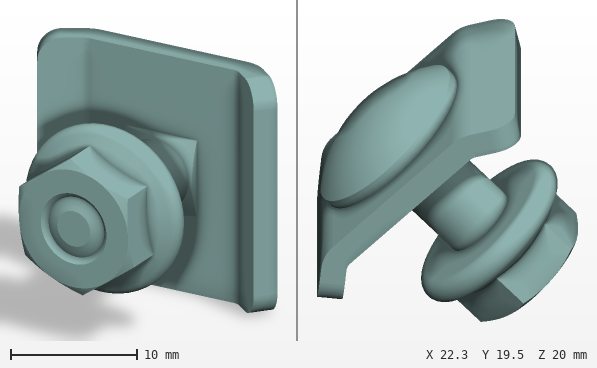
import cadquery as cq
import math


plate_height = 20.0
plate_thickness = 2.0
bend_start = 6.6
bend_inner_radius = 1.0
left_bend_angle = 30.0
right_bend_angle = 40.0
left_tip_reach = 11.28
right_tip_reach = 11.05
wing_corner_radius = 2.0

head_diameter = 14.2
head_rim_height = 0.9
dome_height = 2.64
neck_width = 6.48
neck_end = 3.0
shank_diameter = 6.0
thread_diameter = 5.12
bolt_tip_diameter = 3.02
bolt_tip_length = 0.45

nut_rear = 10.0
nut_height = 6.0
flange_diameter = 14.2
flange_edge_radius = 1.07
hex_width = 10.0
hex_turn = 5.5

bevel_angle = math.radians(30)
bevel_slope = math.tan(bevel_angle)
nut_front = nut_rear + nut_height


def bolt_axis_plane(depth):
    """Work plane square to the bolt axis, facing -Y, at a depth below the rear of the plate."""
    return cq.Workplane("XZ", origin=(0, -depth, 0))


def revolve_on_axis(profile):
    """Turn a closed XY profile about the bolt axis."""
    return profile.close().revolve(360, (0, 0, 0), (0, 1, 0))


def make_wing(side, angle, tip_reach):
    """Bent wing on one side of the plate: side is -1 for left, +1 for right."""
    outer_radius = bend_inner_radius + plate_thickness
    bend = math.radians(angle)

    def bend_point(radius, turn):
        return (
            side * (bend_start + radius * math.sin(turn)),
            -outer_radius + radius * math.cos(turn),
        )

    outer_end = bend_point(outer_radius, bend)
    inner_end = bend_point(bend_inner_radius, bend)
    wing_run = tip_reach - abs(outer_end[0])
    run_x = side * wing_run
    run_y = -wing_run * math.tan(bend)
    wing = (
        cq.Workplane("XY", origin=(0, 0, -plate_height / 2))
        .moveTo(side * bend_start, 0)
        .threePointArc(bend_point(outer_radius, bend / 2), outer_end)
        .lineTo(outer_end[0] + run_x, outer_end[1] + run_y)
        .lineTo(inner_end[0] + run_x, inner_end[1] + run_y)
        .lineTo(*inner_end)
        .threePointArc(bend_point(bend_inner_radius, bend / 2), bend_point(bend_inner_radius, 0))
        .close()
        .extrude(plate_height)
    )
    tip = "<X" if side < 0 else ">X"
    return wing.faces(tip).edges("not |Z").fillet(wing_corner_radius)


def make_plate():
    """Flat plate with two bent wings and a square hole for the bolt neck."""
    flat = bolt_axis_plane(0).rect(2 * bend_start, plate_height).extrude(plate_thickness)
    left_wing = make_wing(-1, left_bend_angle, left_tip_reach)
    right_wing = make_wing(1, right_bend_angle, right_tip_reach)
    neck_hole = bolt_axis_plane(0).rect(neck_width, neck_width).extrude(plate_thickness)
    return flat.union(left_wing).union(right_wing).cut(neck_hole)


def make_head():
    """Domed round head with a short cylindrical rim."""
    head_radius = head_diameter / 2
    dome_radius = (head_radius**2 + dome_height**2) / (2 * dome_height)
    head_top = head_rim_height + dome_height
    half_angle = math.asin(head_radius / dome_radius) / 2
    dome_middle = (
        dome_radius * math.sin(half_angle),
        head_top - dome_radius * (1 - math.cos(half_angle)),
    )
    return revolve_on_axis(
        cq.Workplane("XY")
        .lineTo(head_radius, 0)
        .lineTo(head_radius, head_rim_height)
        .threePointArc(dome_middle, (0, head_top))
    )


def make_neck():
    """Square neck whose front corners are bevelled by a cone around the shank."""
    shank_radius = shank_diameter / 2
    cone_radius = neck_width
    cone_start = -neck_end + (cone_radius - shank_radius) * bevel_slope
    square = bolt_axis_plane(0).rect(neck_width, neck_width).extrude(neck_end)
    bevel = revolve_on_axis(
        cq.Workplane("XY")
        .lineTo(cone_radius, 0)
        .lineTo(cone_radius, cone_start)
        .lineTo(shank_radius, -neck_end)
        .lineTo(0, -neck_end)
    )
    return square.intersect(bevel)


def make_shank():
    """Plain shank up to the nut, then the thinner threaded end with a conical tip."""
    thread_radius = thread_diameter / 2
    return revolve_on_axis(
        cq.Workplane("XY")
        .lineTo(shank_diameter / 2, 0)
        .lineTo(shank_diameter / 2, -nut_rear)
        .lineTo(thread_radius, -nut_rear)
        .lineTo(thread_radius, bolt_tip_length - nut_front)
        .lineTo(bolt_tip_diameter / 2, -nut_front)
        .lineTo(0, -nut_front)
    )


def make_bolt():
    return make_head().union(make_neck()).union(make_shank())


def make_flange():
    """Round-edged flange that rises as a cone towards the hexagon."""
    edge_center_r = flange_diameter / 2 - flange_edge_radius
    edge_center_y = -nut_rear - flange_edge_radius
    cone_start_r = edge_center_r + flange_edge_radius * math.sin(bevel_angle)
    cone_start_y = edge_center_y - flange_edge_radius * math.cos(bevel_angle)
    cone_end_r = thread_diameter / 2
    cone_end_y = cone_start_y - (cone_start_r - cone_end_r) * bevel_slope
    return revolve_on_axis(
        cq.Workplane("XY")
        .moveTo(0, -nut_rear)
        .lineTo(edge_center_r, -nut_rear)
        .threePointArc((flange_diameter / 2, edge_center_y), (cone_start_r, cone_start_y))
        .lineTo(cone_end_r, cone_end_y)
        .lineTo(0, cone_end_y)
    )


def make_hexagon():
    """Hexagon with its front corners bevelled down to the across-flats circle."""
    flat_radius = hex_width / 2
    corner_radius = flat_radius / math.cos(math.pi / 6)
    bevel_radius = hex_width
    body_rear = nut_rear + flange_edge_radius
    hex_first_corner = -30 - hex_turn
    prism = (
        bolt_axis_plane(body_rear)
        .polygon(6, 2 * corner_radius)
        .extrude(nut_front - body_rear)
        .rotate((0, 0, 0), (0, 1, 0), hex_first_corner)
    )
    bevel = revolve_on_axis(
        cq.Workplane("XY")
        .lineTo(bevel_radius, 0)
        .lineTo(bevel_radius, -nut_front + (bevel_radius - flat_radius) * bevel_slope)
        .lineTo(flat_radius, -nut_front)
        .lineTo(0, -nut_front)
    )
    return prism.intersect(bevel)


def make_nut():
    """Flanged hexagon nut with a bore whose front end is countersunk."""
    bore = bolt_axis_plane(nut_rear).circle(thread_diameter / 2).extrude(nut_height)
    countersink_depth = (shank_diameter - thread_diameter) / 2
    nut = make_flange().union(make_hexagon()).cut(bore)
    bore_rim = nut.faces("<Y").edges(cq.selectors.RadiusNthSelector(0))
    return bore_rim.chamfer(countersink_depth)


plate = make_plate()
bolt = make_bolt()
nut = make_nut()

result = cq.Compound.makeCompound([plate.val(), bolt.val(), nut.val()])